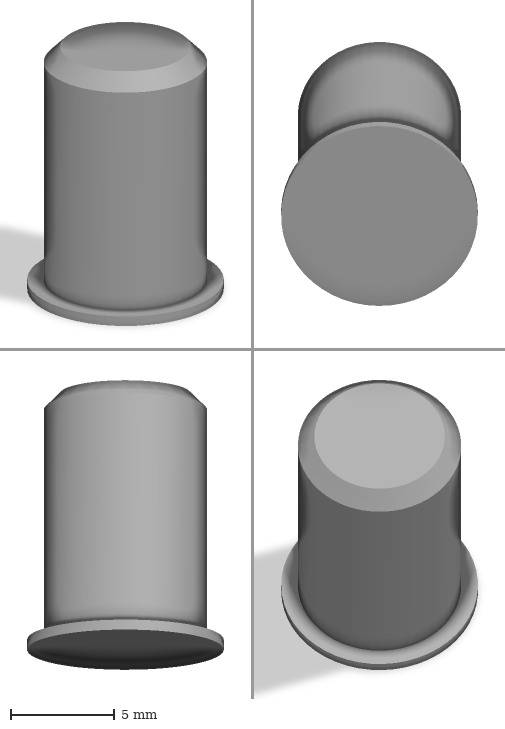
import cadquery as cq

total_height = 12.7
flange_diameter = 9.55
flange_thickness = 0.5
body_diameter = 7.94
top_chamfer = 0.8

flange = cq.Workplane("XY").circle(flange_diameter / 2).extrude(flange_thickness)

body = (
    cq.Workplane("XY")
    .circle(body_diameter / 2)
    .extrude(total_height)
    .faces(">Z")
    .chamfer(top_chamfer)
)

result = flange.union(body)